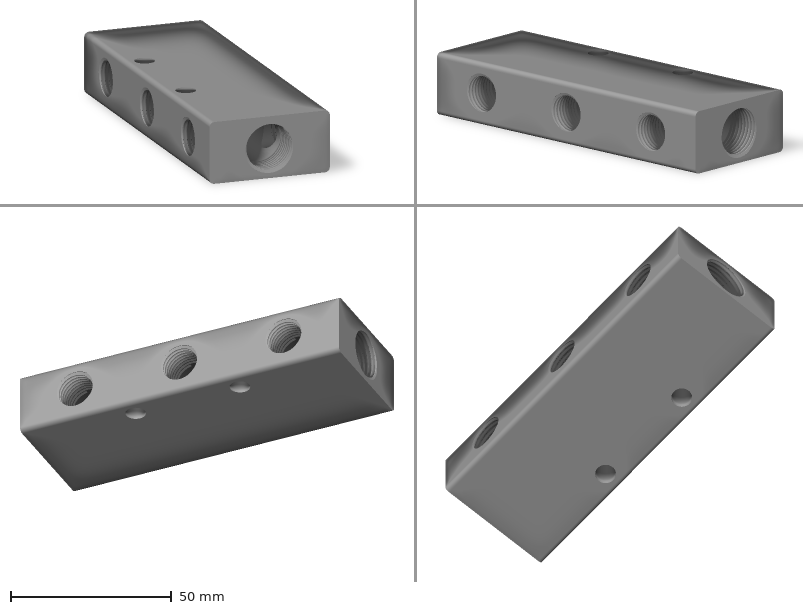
import cadquery as cq

LENGTH = 110.0
WIDTH = 40.0
HEIGHT = 20.0
EDGE_RADIUS = 1.5

BORE_DIAMETER = 15.0
PORT_DIAMETER = 11.4
PORT_SPACING = 36.0
PORT_COUNT = 3

PITCH = 1.3
GROOVE_DEPTH = 0.86
GROOVE_OVERLAP = 0.1
GROOVE_MOUTH = 0.85 * PITCH
GROOVE_ROOT = 0.25 * PITCH
BORE_TURNS = 8
PORT_TURNS = 8
BORE_START_ANGLE = -75
PORT_START_ANGLE = 80

MOUNT_DIAMETER = 6.5
MOUNT_SPACING = PORT_SPACING
MOUNT_EDGE_DISTANCE = 6.0


def make_block():
    """Plain block with its four long edges rounded."""
    return cq.Workplane("XY").box(LENGTH, WIDTH, HEIGHT).edges("|X").fillet(EDGE_RADIUS)


def make_groove(hole_diameter, turns, start_angle):
    """Helical groove cutter along +Z; it begins one pitch below Z = 0 to run out of the mouth."""
    inner = hole_diameter / 2 - GROOVE_OVERLAP
    outer = hole_diameter / 2 + GROOVE_DEPTH
    helix = cq.Wire.makeHelix(PITCH, (turns + 1) * PITCH, inner)
    profile = cq.Workplane("XZ").polyline([
        (inner, -GROOVE_MOUTH / 2),
        (outer, -GROOVE_ROOT / 2),
        (outer, GROOVE_ROOT / 2),
        (inner, GROOVE_MOUTH / 2),
    ]).close()
    groove = profile.sweep(cq.Workplane(helix), isFrenet=True)
    return groove.rotate((0, 0, 0), (0, 0, 1), start_angle).translate((0, 0, -PITCH)).val()


def mouth_plane(origin, axis):
    """Plane of a hole mouth: normal along the hole axis, X level and Y upwards."""
    level = axis.cross(cq.Vector(0, 0, -1))
    return cq.Plane(origin, level, axis)


def cut_threaded_hole(body, mouth, inward, diameter, depth, turns, start_angle):
    """Drill through from one mouth and cut a thread inwards from both mouths."""
    far_mouth = mouth + inward * depth
    drill = cq.Workplane(mouth_plane(mouth, inward)).circle(diameter / 2).extrude(depth)
    body = body.cut(drill)
    groove = make_groove(diameter, turns, start_angle)
    for origin, axis in ((mouth, inward), (far_mouth, -inward)):
        location = cq.Location(mouth_plane(origin, axis))
        body = body.cut(cq.Workplane(groove.moved(location)))
    return body


def cut_main_bore(body):
    mouth = cq.Vector(-LENGTH / 2, 0, 0)
    inward = cq.Vector(1, 0, 0)
    return cut_threaded_hole(
        body, mouth, inward, BORE_DIAMETER, LENGTH, BORE_TURNS, BORE_START_ANGLE)


def cut_ports(body):
    """Row of equally spaced ports, centred along the block."""
    inward = cq.Vector(0, 1, 0)
    for index in range(PORT_COUNT):
        x = (index - (PORT_COUNT - 1) / 2) * PORT_SPACING
        mouth = cq.Vector(x, -WIDTH / 2, 0)
        body = cut_threaded_hole(
            body, mouth, inward, PORT_DIAMETER, WIDTH, PORT_TURNS, PORT_START_ANGLE)
    return body


def cut_mounting_holes(body):
    """Two through holes, each midway between neighbouring ports."""
    y = MOUNT_EDGE_DISTANCE - WIDTH / 2
    centres = [(-MOUNT_SPACING / 2, y), (MOUNT_SPACING / 2, y)]
    drills = (
        cq.Workplane("XY", origin=(0, 0, -HEIGHT / 2))
        .pushPoints(centres)
        .circle(MOUNT_DIAMETER / 2)
        .extrude(HEIGHT)
    )
    return body.cut(drills)


result = make_block()
result = cut_main_bore(result)
result = cut_ports(result)
result = cut_mounting_holes(result)